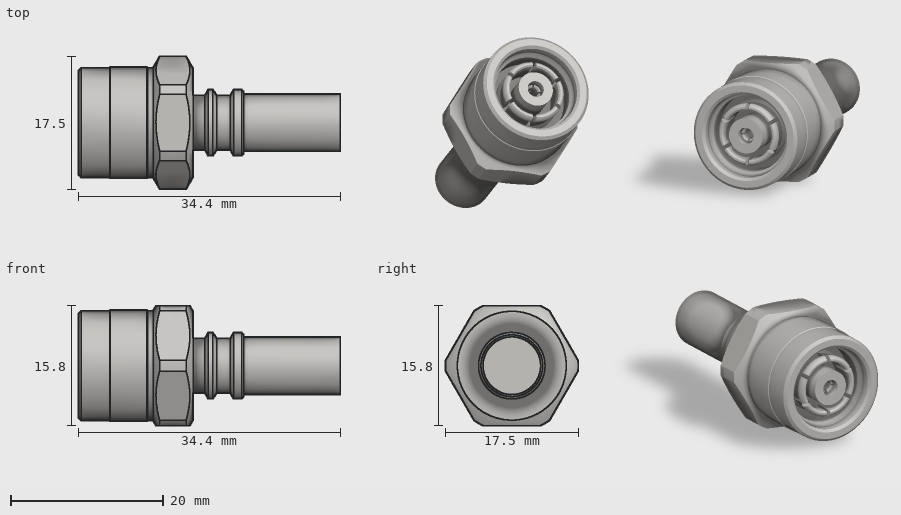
import cadquery as cq
import math

total_length = 34.42

body_radius = 7.23
front_chamfer = 0.38
grip_start = 4.1
grip_end = 9.1
grip_radius = 7.33

hex_sides = 6
hex_start = 9.8
hex_end = 15.08
hex_across_flats = 15.8
hex_corner_diameter = 17.5
hex_back_radius = 7.15
hex_bevel_angle = 60.0

neck_radius = 3.6
collar_radius = 4.37
first_collar_start = 16.62
first_collar_width = 1.55
first_collar_rim = 0.62
second_collar_start = 19.95
second_collar_end = 21.75
second_collar_chamfer = 0.3
collar_angle = 60.0
tail_radius = 3.8

mouth_radius = 5.95
entry_radius = 5.6
cavity_radius = 5.1
seat_depth = 1.7
cavity_depth = 4.82

sleeve_tip = 0.93
sleeve_bore_radius = 3.35
sleeve_bore_chamfer = 0.2
sleeve_tube_radius = 3.8
sleeve_bead_radius = 4.15
sleeve_bead_length = 1.45
slot_floor = 4.13
slot_width = 0.5
slot_count = 6

insulator_radius = 2.35
insulator_tip = 0.45
insulator_bore_radius = 1.1
contact_tip = 1.55
contact_radius = 1.0
contact_bore_radius = 0.65
contact_bore_chamfer = 0.17
contact_bore_depth = 4.13
contact_slot_width = 0.2
contact_slot_depth = 1.72
contact_slot_count = 4
drill_point_angle = 118.0


def tube(start, end, outer_radius, inner_radius=0.0):
    """Cylinder or ring along the X axis."""
    sketch = cq.Workplane("YZ").workplane(offset=start).circle(outer_radius)
    if inner_radius:
        sketch = sketch.circle(inner_radius)
    return sketch.extrude(end - start)


def turned(profile):
    """Revolve a closed outline of (X, radius) points about the X axis."""
    return cq.Workplane("XY").polyline(profile).close().revolve(360, (0, 0, 0), (1, 0, 0))


def radial_slots(count, width, start, end, reach):
    """Evenly spaced slots, each running from the axis out to one side."""
    slot = cq.Workplane("XY").box(end - start, width, reach, centered=(False, True, False))
    slot = slot.translate((start, 0, 0))
    slots = cq.Workplane("XY")
    for i in range(count):
        turn = i * 360 / count
        slots = slots.add(slot.rotate((0, 0, 0), (1, 0, 0), turn))
    return slots.combine()


def outer_body():
    grip_step = grip_radius - body_radius
    return turned([
        (0, 0),
        (0, body_radius - front_chamfer),
        (front_chamfer, body_radius),
        (grip_start, body_radius),
        (grip_start + grip_step, grip_radius),
        (grip_end - grip_step, grip_radius),
        (grip_end, body_radius),
        (hex_start, body_radius),
        (hex_start, 0),
    ])


def hex_nut():
    corner_radius = hex_corner_diameter / 2
    sharp_diameter = hex_across_flats / math.cos(math.pi / hex_sides)
    prism = cq.Workplane("YZ").workplane(offset=hex_start).polygon(hex_sides, sharp_diameter)
    prism = prism.extrude(hex_end - hex_start)
    bevel_slope = math.tan(math.radians(hex_bevel_angle))
    envelope = turned([
        (hex_start, 0),
        (hex_start, body_radius),
        (hex_start + (corner_radius - body_radius) / bevel_slope, corner_radius),
        (hex_end - (corner_radius - hex_back_radius) / bevel_slope, corner_radius),
        (hex_end, hex_back_radius),
        (hex_end, 0),
    ])
    return prism.intersect(envelope)


def cable_tail():
    flank = (collar_radius - neck_radius) / math.tan(math.radians(collar_angle))
    first_rim_start = first_collar_start + flank
    return turned([
        (hex_end, 0),
        (hex_end, neck_radius),
        (first_collar_start, neck_radius),
        (first_rim_start, collar_radius),
        (first_rim_start + first_collar_rim, collar_radius),
        (first_collar_start + first_collar_width, neck_radius),
        (second_collar_start, neck_radius),
        (second_collar_start + flank, collar_radius),
        (second_collar_end - second_collar_chamfer, collar_radius),
        (second_collar_end, collar_radius - second_collar_chamfer),
        (second_collar_end, tail_radius),
        (total_length, tail_radius),
        (total_length, 0),
    ])


def mating_cavity():
    return turned([
        (0, 0),
        (0, mouth_radius),
        (mouth_radius - entry_radius, entry_radius),
        (seat_depth, entry_radius),
        (seat_depth + entry_radius - cavity_radius, cavity_radius),
        (cavity_depth, cavity_radius),
        (cavity_depth, 0),
    ])


def spring_sleeve():
    bead_height = sleeve_bead_radius - sleeve_tube_radius
    sleeve = (
        cq.Workplane("XY")
        .moveTo(sleeve_tip, sleeve_bore_radius + sleeve_bore_chamfer)
        .lineTo(sleeve_tip, sleeve_tube_radius)
        .threePointArc(
            (sleeve_tip + sleeve_bead_length / 2, sleeve_bead_radius),
            (sleeve_tip + sleeve_bead_length, sleeve_tube_radius),
        )
        .lineTo(slot_floor, sleeve_tube_radius)
        .lineTo(slot_floor + bead_height, sleeve_bead_radius)
        .lineTo(cavity_depth, sleeve_bead_radius)
        .lineTo(cavity_depth, sleeve_bore_radius)
        .lineTo(sleeve_tip + sleeve_bore_chamfer, sleeve_bore_radius)
        .close()
        .revolve(360, (0, 0, 0), (1, 0, 0))
    )
    return sleeve.cut(radial_slots(slot_count, slot_width, sleeve_tip, slot_floor, cavity_radius))


def contact_bore():
    point_length = contact_bore_radius / math.tan(math.radians(drill_point_angle / 2))
    return turned([
        (contact_tip, 0),
        (contact_tip, contact_bore_radius + contact_bore_chamfer),
        (contact_tip + contact_bore_chamfer, contact_bore_radius),
        (contact_bore_depth, contact_bore_radius),
        (contact_bore_depth + point_length, 0),
    ])


def socket_contact():
    contact = tube(contact_tip, cavity_depth, contact_radius)
    slots = radial_slots(
        contact_slot_count,
        contact_slot_width,
        contact_tip,
        contact_tip + contact_slot_depth,
        insulator_bore_radius,
    )
    return contact.cut(slots)


insulator = tube(insulator_tip, cavity_depth, insulator_radius, insulator_bore_radius)

result = outer_body().union(hex_nut()).union(cable_tail()).cut(mating_cavity())
result = result.union(spring_sleeve()).union(insulator).union(socket_contact()).cut(contact_bore())